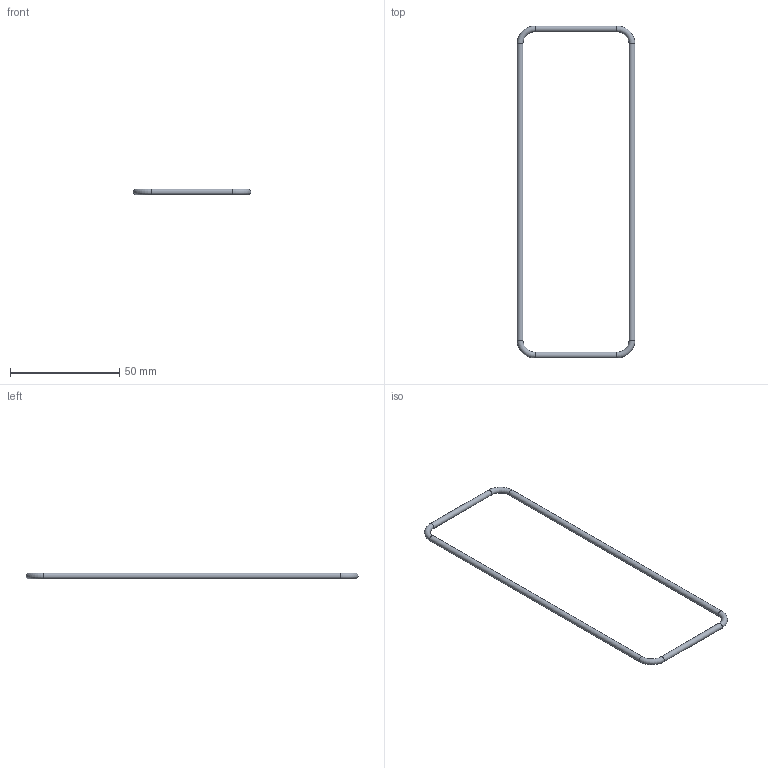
import cadquery as cq

outer_width = 53.9
outer_length = 151.9
rod_diameter = 2.7
outer_corner_radius = 8.2

rod_radius = rod_diameter / 2
center_width = outer_width - rod_diameter
center_length = outer_length - rod_diameter
bend_radius = outer_corner_radius - rod_radius


def centerline():
    """Rounded rectangle followed by the middle of the rod."""
    half_x = center_width / 2
    half_y = center_length / 2
    straight_x = half_x - bend_radius
    straight_y = half_y - bend_radius
    return (
        cq.Workplane("XY")
        .moveTo(half_x, 0)
        .lineTo(half_x, straight_y)
        .tangentArcPoint((straight_x, half_y), relative=False)
        .lineTo(-straight_x, half_y)
        .tangentArcPoint((-half_x, straight_y), relative=False)
        .lineTo(-half_x, -straight_y)
        .tangentArcPoint((-straight_x, -half_y), relative=False)
        .lineTo(straight_x, -half_y)
        .tangentArcPoint((half_x, -straight_y), relative=False)
        .close()
    )


def rod_section():
    """Round section of the rod where the loop starts, midway along the +X side."""
    return cq.Workplane("XZ").center(center_width / 2, 0).circle(rod_radius)


result = rod_section().sweep(centerline())